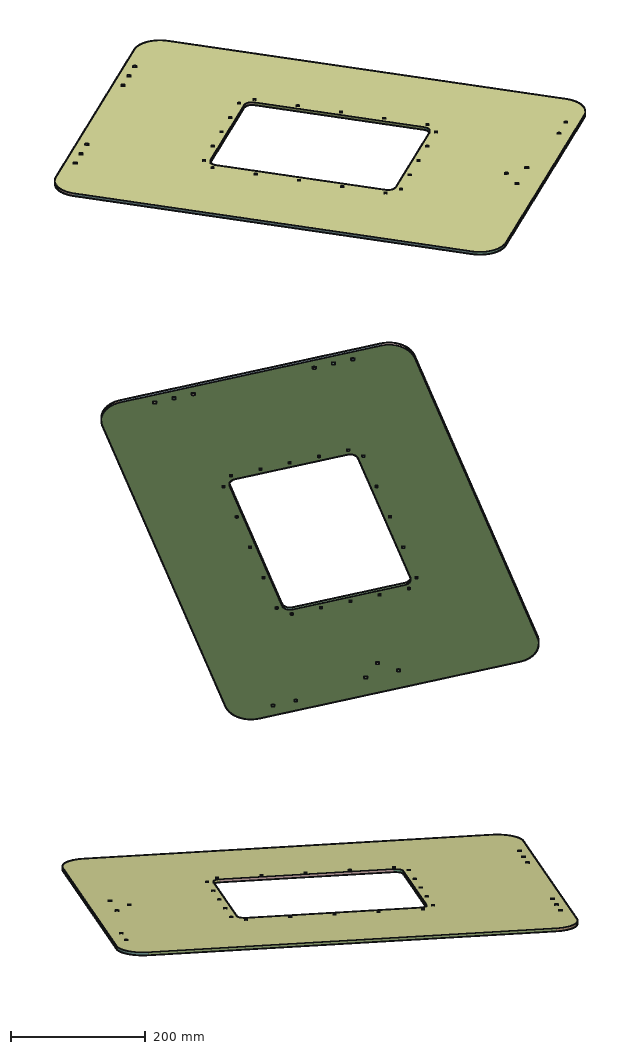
import cadquery as cq

plate_length = 698.0
plate_width = 485.9
plate_thickness = 5.0
plate_corner_radius = 40.0

window_length = 287.5
window_width = 199.5
window_corner_radius = 12.0

frame_hole_diameter = 4.0
frame_hole_margin = 9.0
frame_holes_per_side = 5
frame_pitch_x = 67.0
frame_pitch_y = 45.5

left_hole_diameter = 5.5
left_hole_x = -333.5
left_row_center_y = 124.0
left_hole_pitch = 30.0
left_holes_per_row = 3

corner_hole_diameter = 4.5
corner_hole_x = 329.0
corner_pair_center_y = 157.0
corner_pair_spacing = 35.5

triangle_base_diameter = 5.5
triangle_base_x = 313.0
triangle_base_spacing = 51.0
triangle_tip_diameter = 5.0
triangle_tip_x = 289.0


def centered_steps(count, pitch):
    """Evenly spaced offsets, symmetric about zero."""
    return [(index - (count - 1) / 2) * pitch for index in range(count)]


def rounded_block(length, width, corner_radius):
    """Block of plate thickness with rounded vertical edges."""
    return (
        cq.Workplane("XY")
        .rect(length, width)
        .extrude(plate_thickness)
        .edges("|Z")
        .fillet(corner_radius)
    )


def drill(body, points, diameter):
    """Cut plain through holes at the given XY points."""
    pins = cq.Workplane("XY").pushPoints(points).circle(diameter / 2).extrude(plate_thickness)
    return body.cut(pins)


def frame_hole_points():
    """Centres of the holes along all four sides of the window."""
    side_x = window_length / 2 + frame_hole_margin
    side_y = window_width / 2 + frame_hole_margin
    points = []
    for sign in (-1, 1):
        points += [(x, sign * side_y) for x in centered_steps(frame_holes_per_side, frame_pitch_x)]
        points += [(sign * side_x, y) for y in centered_steps(frame_holes_per_side, frame_pitch_y)]
    return points


def left_hole_points():
    """Centres of the two rows of holes beside the -X edge."""
    return [
        (left_hole_x, sign * left_row_center_y + step)
        for sign in (-1, 1)
        for step in centered_steps(left_holes_per_row, left_hole_pitch)
    ]


def pair_points(x, center_y, spacing):
    """Two centres at the same X, spaced along Y about center_y."""
    return [(x, center_y + step) for step in centered_steps(2, spacing)]


plate = rounded_block(plate_length, plate_width, plate_corner_radius)
plate = plate.cut(rounded_block(window_length, window_width, window_corner_radius))
plate = drill(plate, frame_hole_points(), frame_hole_diameter)
plate = drill(plate, left_hole_points(), left_hole_diameter)
corner_pair = pair_points(corner_hole_x, corner_pair_center_y, corner_pair_spacing)
plate = drill(plate, corner_pair, corner_hole_diameter)
triangle_base = pair_points(triangle_base_x, 0, triangle_base_spacing)
plate = drill(plate, triangle_base, triangle_base_diameter)
plate = drill(plate, [(triangle_tip_x, 0)], triangle_tip_diameter)

result = plate